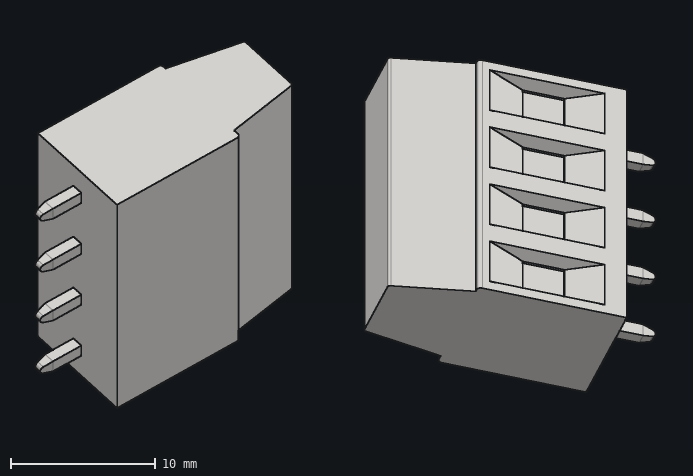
import cadquery as cq
import math


pole_count = 4
body_height = 20.0
pitch = body_height / pole_count

body_width = 8.9
total_depth = 20.3
pin_length = 3.5
body_depth = total_depth - pin_length
shoulder_y = 10.86
neck_left_x = -3.95
neck_right_x = 3.74
crest_left_x = -2.65
crest_right_x = 2.72
shoulder_radius = 0.3
crest_radius = 0.2

funnel_y_min = 1.6
funnel_y_max = 10.0
funnel_height = 3.51
throat_y_min = 4.2
throat_y_max = 7.27
throat_height = 2.78
taper_depth = 1.0
throat_depth = 0.2

pin_width = 0.9
pin_height = 1.0
shaft_length = 2.5
tip_width = 0.57
nose_radius = 0.32


def make_housing():
    """Block with a tapered, asymmetric back, extruded along the row."""
    half_width = body_width / 2
    outline = [
        (-half_width, 0),
        (half_width, 0),
        (half_width, shoulder_y),
        (neck_right_x, shoulder_y),
        (crest_right_x, body_depth),
        (crest_left_x, body_depth),
        (neck_left_x, shoulder_y),
        (-half_width, shoulder_y),
    ]
    housing = (
        cq.Workplane("XY")
        .workplane(offset=-body_height / 2)
        .polyline(outline)
        .close()
        .extrude(body_height)
    )
    housing = housing.edges("|Z and >Y").fillet(crest_radius)
    for side in (-1, 1):
        corner = cq.selectors.NearestToPointSelector((side * half_width, shoulder_y, 0))
        housing = housing.edges("|Z").edges(corner).fillet(shoulder_radius)
    return housing


def make_funnel():
    """Rectangular entry that narrows to a short straight throat, centred on Z = 0."""
    funnel_y = (funnel_y_min + funnel_y_max) / 2
    throat_y = (throat_y_min + throat_y_max) / 2
    throat_width = throat_y_max - throat_y_min
    taper = (
        cq.Workplane("YZ", origin=(-body_width / 2, 0, 0))
        .center(funnel_y, 0)
        .rect(funnel_y_max - funnel_y_min, funnel_height)
        .workplane(offset=taper_depth)
        .center(throat_y - funnel_y, 0)
        .rect(throat_width, throat_height)
        .loft(ruled=True)
    )
    throat = (
        cq.Workplane("YZ", origin=(taper_depth - body_width / 2, throat_y, 0))
        .rect(throat_width, throat_height)
        .extrude(throat_depth)
    )
    return taper.union(throat)


def make_pin():
    """Pin along -Y whose tip tapers on all sides and ends in a nose rounded about X."""
    half_width = pin_width / 2
    half_height = pin_height / 2
    half_tip = tip_width / 2

    nose_centre_y = nose_radius - pin_length
    taper_run = -shaft_length - nose_centre_y
    corner_distance = math.hypot(half_height, taper_run)
    taper_angle = math.acos(nose_radius / corner_distance) - math.atan2(taper_run, half_height)
    nose_start_y = nose_centre_y - nose_radius * math.sin(taper_angle)
    nose_start_z = nose_radius * math.cos(taper_angle)

    side_profile = (
        cq.Workplane("YZ")
        .moveTo(0, -half_height)
        .lineTo(-shaft_length, -half_height)
        .lineTo(nose_start_y, -nose_start_z)
        .threePointArc((-pin_length, 0), (nose_start_y, nose_start_z))
        .lineTo(-shaft_length, half_height)
        .lineTo(0, half_height)
        .close()
        .extrude(half_width, both=True)
    )
    plan_outline = [
        (-half_width, 0),
        (-half_width, -shaft_length),
        (-half_tip, -pin_length),
        (half_tip, -pin_length),
        (half_width, -shaft_length),
        (half_width, 0),
    ]
    plan_profile = (
        cq.Workplane("XY").polyline(plan_outline).close().extrude(half_height, both=True)
    )
    return side_profile.intersect(plan_profile)


result = make_housing()
funnel = make_funnel()
pin = make_pin()
for pole in range(pole_count):
    pole_z = (pole - (pole_count - 1) / 2) * pitch
    result = result.cut(funnel.translate((0, 0, pole_z)))
    result = result.union(pin.translate((0, 0, pole_z)))